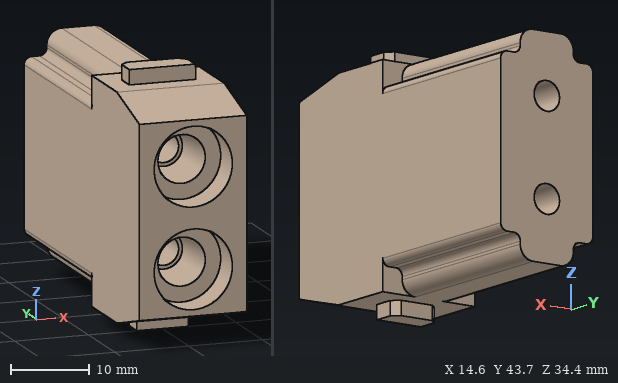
import cadquery as cq
import math

width = 14.6
length = 43.65
overall_height = 34.4
tab_height = 2.0
body_height = overall_height - 2 * tab_height

nose_y = -length / 2
back_y = length / 2
side_x = width / 2
body_top_z = body_height / 2

nose_length = 8.6
nose_angle = 15.0
nose_drop = nose_length * math.tan(math.radians(nose_angle))

step_length = 25.55
crown_flat_width = 4.4
crown_radius = 2.0
rib_wall_height = 0.4
root_radius = 1.0
shoulder_radius = 1.0

tab_length = 3.9
tab_setback = 11.6
tab_front_y = nose_y + tab_setback
tab_chamfer = 1.0
top_tab_width = 9.0
bottom_tab_width = 7.0

hole_spacing = 13.5
socket_diameter = 10.6
socket_depth = 4.4
taper_start_diameter = 6.4
taper_end_diameter = 5.0
taper_end_depth = 11.15
through_diameter = 4.0


def make_body():
    """Full-width block with the top and bottom tapering in towards the nose."""
    taper_y = nose_y + nose_length
    nose_z = body_top_z - nose_drop
    outline = [
        (back_y, -body_top_z),
        (back_y, body_top_z),
        (taper_y, body_top_z),
        (nose_y, nose_z),
        (nose_y, -nose_z),
        (taper_y, -body_top_z),
    ]
    return cq.Workplane("YZ").polyline(outline).close().extrude(side_x, both=True)


def make_step_cutter():
    """Material removed along the rear top edge on the +X side."""
    diagonal = math.sqrt(0.5)
    crown_x = crown_flat_width / 2
    wall_x = crown_x + crown_radius
    ledge_x = wall_x + root_radius
    shoulder_x = side_x - shoulder_radius
    wall_top_z = body_top_z - crown_radius
    wall_bottom_z = wall_top_z - rib_wall_height
    ledge_z = wall_bottom_z - root_radius
    shoulder_z = ledge_z - shoulder_radius

    crown_middle = (crown_x + crown_radius * diagonal, wall_top_z + crown_radius * diagonal)
    root_middle = (ledge_x - root_radius * diagonal, wall_bottom_z - root_radius * diagonal)
    shoulder_middle = (shoulder_x + shoulder_radius * diagonal, shoulder_z + shoulder_radius * diagonal)

    return (
        cq.Workplane("XZ", origin=(0, back_y, 0))
        .moveTo(crown_x, body_top_z)
        .threePointArc(crown_middle, (wall_x, wall_top_z))
        .lineTo(wall_x, wall_bottom_z)
        .threePointArc(root_middle, (ledge_x, ledge_z))
        .lineTo(shoulder_x, ledge_z)
        .threePointArc(shoulder_middle, (side_x, shoulder_z))
        .lineTo(side_x, body_top_z)
        .close()
        .extrude(step_length)
    )


def make_tab(tab_width, bottom_z):
    """Keying tab with its two rear corners chamfered."""
    return (
        cq.Workplane("XY", origin=(0, tab_front_y + tab_length / 2, bottom_z))
        .rect(tab_width, tab_length)
        .extrude(tab_height)
        .edges("|Z and >Y")
        .chamfer(tab_chamfer)
    )


def make_hole_cutter(center_z):
    """Socket, tapered bore and through hole, turned about a line along Y."""
    socket_radius = socket_diameter / 2
    taper_start_radius = taper_start_diameter / 2
    taper_end_radius = taper_end_diameter / 2
    through_radius = through_diameter / 2
    socket_floor_y = nose_y + socket_depth
    taper_end_y = nose_y + taper_end_depth
    half_section = [
        (0, nose_y),
        (socket_radius, nose_y),
        (socket_radius, socket_floor_y),
        (taper_start_radius, socket_floor_y),
        (taper_end_radius, taper_end_y),
        (through_radius, taper_end_y),
        (through_radius, back_y),
        (0, back_y),
    ]
    cutter = cq.Workplane("XY").polyline(half_section).close().revolve(360, (0, 0), (0, 1))
    return cutter.translate((0, 0, center_z))


result = make_body()

right_top_step = make_step_cutter()
top_steps = right_top_step.union(right_top_step.mirror("YZ"))
result = result.cut(top_steps).cut(top_steps.mirror("XY"))

result = result.union(make_tab(top_tab_width, body_top_z))
result = result.union(make_tab(bottom_tab_width, -body_top_z - tab_height))

for hole_side in (-1, 1):
    result = result.cut(make_hole_cutter(hole_side * hole_spacing / 2))